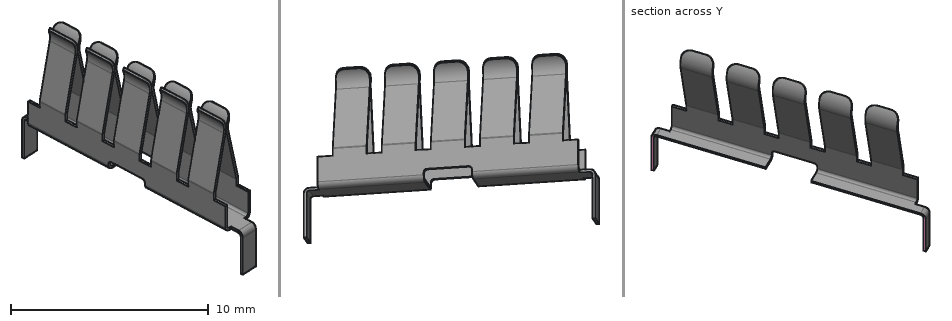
import cadquery as cq
import math

sheet = 0.15
bend_inner = 0.15
bend_outer = bend_inner + sheet

channel_length = 13.5
channel_width = 1.86
wall_height = 1.63

opening_length = 2.5
opening_height = 0.6
opening_radius = 0.2

leg_span = 15.1
leg_width = 1.0
leg_drop = 2.48

arm_count = 5
arm_pitch = 2.54
arm_width = 1.75
arm_bend_z = 2.02
arm_bend_inner = 0.05
arm_bend_outer = arm_bend_inner + sheet
contact_gap = 0.005
contact_z = 5.61
curl_radius = 0.90
tip_z = 6.44
tip_corner_radius = 0.5

half_width = channel_width / 2

bend_center = (half_width - arm_bend_outer, arm_bend_z)
curl_center = (contact_gap / 2 + sheet + curl_radius, contact_z)
center_dy = curl_center[0] - bend_center[0]
center_dz = curl_center[1] - bend_center[1]
lean_angle = math.atan2(center_dz, center_dy) - math.acos(
    (arm_bend_outer + curl_radius) / math.hypot(center_dy, center_dz)
)
tip_angle = math.asin((tip_z - contact_z) / (curl_radius + sheet))


def polar(center, radius, angle):
    """Point at an angle (radians from the first axis) on a circle."""
    return (
        center[0] + radius * math.cos(angle),
        center[1] + radius * math.sin(angle),
    )


def make_channel():
    """Floor with two side walls, bent up from one sheet."""
    outer = (
        cq.Workplane("XY")
        .box(channel_length, channel_width, wall_height, centered=(True, True, False))
        .edges("|X and <Z")
        .fillet(bend_outer)
    )
    inner = (
        cq.Workplane("XY", origin=(0, 0, sheet))
        .box(
            channel_length,
            channel_width - 2 * sheet,
            2 * wall_height,
            centered=(True, True, False),
        )
        .edges("|X and <Z")
        .fillet(bend_inner)
    )
    return outer.cut(inner)


def make_opening():
    """Cutter across the full width, rounded at its top corners."""
    return (
        cq.Workplane("XY")
        .box(opening_length, channel_width, 2 * opening_height)
        .edges("|Y and >Z")
        .fillet(opening_radius)
    )


def make_legs():
    """Strip running along the floor and bent down at both ends."""
    height = leg_drop + sheet
    outer = (
        cq.Workplane("XY", origin=(0, 0, -leg_drop))
        .box(leg_span, leg_width, height, centered=(True, True, False))
        .edges("|Y and >Z")
        .fillet(bend_outer)
    )
    inner = (
        cq.Workplane("XY", origin=(0, 0, -leg_drop))
        .box(leg_span - 2 * sheet, leg_width, leg_drop, centered=(True, True, False))
        .edges("|Y and >Z")
        .fillet(bend_inner)
    )
    return outer.cut(inner)


def make_arm():
    """Contact arm on the +Y side, centred on X = 0."""
    curl_inner = curl_radius + sheet
    curl_start = math.pi + lean_angle
    curl_end = math.pi - tip_angle
    curl_middle = (curl_start + curl_end) / 2
    arm = (
        cq.Workplane("YZ")
        .moveTo(half_width, wall_height)
        .lineTo(*polar(bend_center, arm_bend_outer, 0))
        .threePointArc(
            polar(bend_center, arm_bend_outer, lean_angle / 2),
            polar(bend_center, arm_bend_outer, lean_angle),
        )
        .lineTo(*polar(curl_center, curl_radius, curl_start))
        .threePointArc(
            polar(curl_center, curl_radius, curl_middle),
            polar(curl_center, curl_radius, curl_end),
        )
        .lineTo(*polar(curl_center, curl_inner, curl_end))
        .threePointArc(
            polar(curl_center, curl_inner, curl_middle),
            polar(curl_center, curl_inner, curl_start),
        )
        .lineTo(*polar(bend_center, arm_bend_inner, lean_angle))
        .threePointArc(
            polar(bend_center, arm_bend_inner, lean_angle / 2),
            polar(bend_center, arm_bend_inner, 0),
        )
        .lineTo(half_width - sheet, wall_height)
        .close()
        .extrude(arm_width / 2, both=True)
    )
    tip_direction = (0, math.cos(curl_end), math.sin(curl_end))
    tip_edges = cq.selectors.ParallelDirSelector(cq.Vector(*tip_direction))
    return arm.edges(tip_edges).edges(">Z").fillet(tip_corner_radius)


base = make_channel().union(make_legs()).cut(make_opening())

result = base
back_arm = make_arm()
front_arm = back_arm.mirror("XZ")
for index in range(arm_count):
    arm_x = (index - (arm_count - 1) / 2) * arm_pitch
    for arm in (back_arm, front_arm):
        result = result.union(arm.translate((arm_x, 0, 0)))